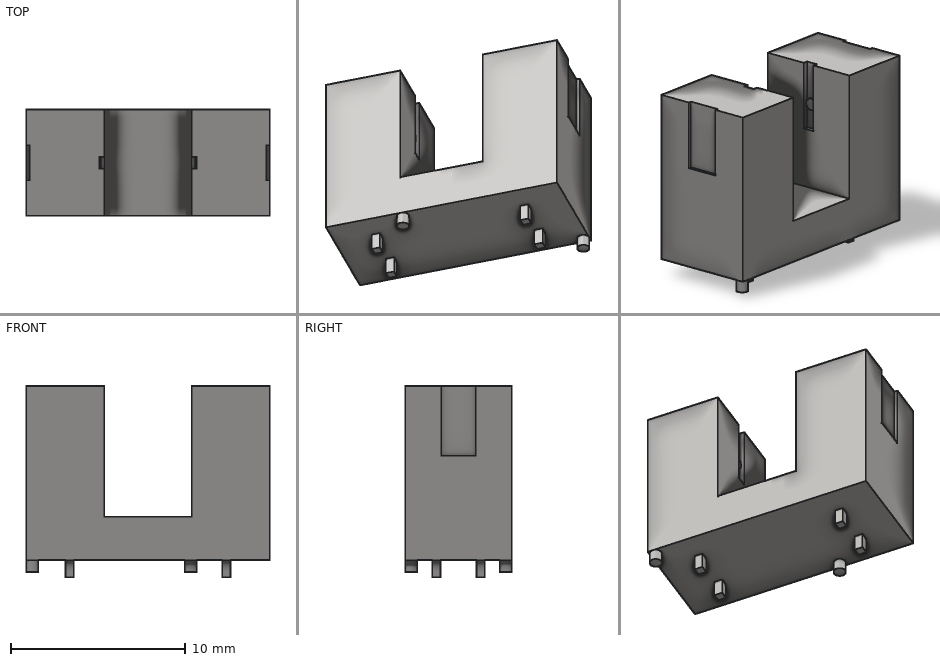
import cadquery as cq

body_length = 14.0
body_width = 6.12
body_height = 10.0
gap_width = 5.0
floor_height = 2.5

recess_width = 2.0
recess_height = 4.0
recess_depth = 0.2

slit_width = 0.7
slit_height = 4.0
slit_depth = 0.3

lens_diameter = slit_width
lens_rise = 0.1
lens_height = 7.5

pin_size = 0.5
pin_length = 1.0
pin_spacing_x = 9.0
pin_spacing_y = 2.54

peg_diameter = 0.7
peg_length = 0.7
right_peg_x = 2.45

overlap = 0.2

left_side, right_side = -1, 1


def box_between(x_start, x_end, width, z_start, z_end):
    """Box centred on y = 0, spanning the given x and z ranges."""
    return cq.Workplane("XY").box(
        abs(x_end - x_start), width, z_end - z_start
    ).translate(((x_start + x_end) / 2, 0, (z_start + z_end) / 2))


def make_housing():
    block = box_between(-body_length / 2, body_length / 2, body_width, 0, body_height)
    gap = box_between(-gap_width / 2, gap_width / 2, body_width, floor_height, body_height)
    return block.cut(gap)


def make_outer_recess(side):
    outer_face = side * body_length / 2
    recess_bottom = outer_face - side * recess_depth
    return box_between(
        recess_bottom, outer_face, recess_width, body_height - recess_height, body_height
    )


def make_slit(side):
    gap_face = side * gap_width / 2
    slit_bottom = gap_face + side * slit_depth
    return box_between(gap_face, slit_bottom, slit_width, body_height - slit_height, body_height)


def make_lens(side):
    slit_bottom = gap_width / 2 + slit_depth
    return (
        cq.Workplane("YZ", origin=(side * (slit_bottom + overlap), 0, lens_height))
        .circle(lens_diameter / 2)
        .extrude(-side * (lens_rise + overlap))
    )


def make_pins():
    return (
        cq.Workplane("XY", origin=(0, 0, overlap))
        .rarray(pin_spacing_x, pin_spacing_y, 2, 2)
        .rect(pin_size, pin_size)
        .extrude(-(pin_length + overlap))
    )


def make_pegs():
    """One peg in the front left corner, one along the back edge."""
    left_peg_x = (peg_diameter - body_length) / 2
    peg_y = (body_width - peg_diameter) / 2
    return (
        cq.Workplane("XY", origin=(0, 0, overlap))
        .pushPoints([(left_peg_x, -peg_y), (right_peg_x, peg_y)])
        .circle(peg_diameter / 2)
        .extrude(-(peg_length + overlap))
    )


result = make_housing()
for leg_side in (left_side, right_side):
    result = result.cut(make_outer_recess(leg_side))
    result = result.cut(make_slit(leg_side))
    result = result.union(make_lens(leg_side))
result = result.union(make_pins()).union(make_pegs())